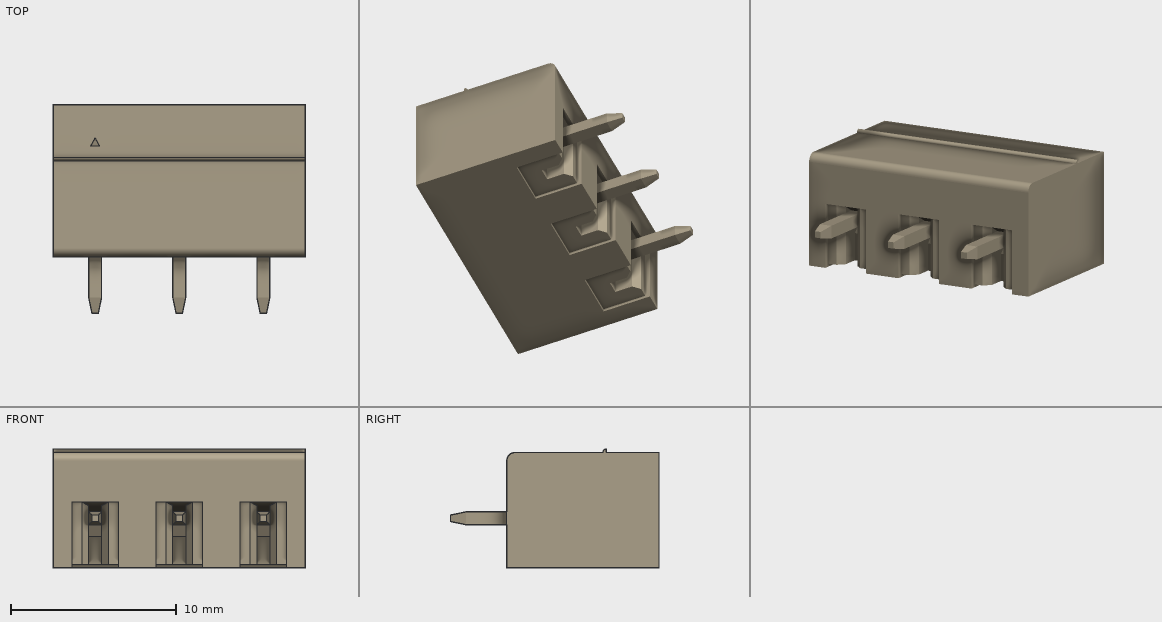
import cadquery as cq


length = 15.24
depth = 9.2
height = 6.98
front_edge_radius = 0.5

position_count = 3
pitch = length / position_count
positions = [(i - (position_count - 1) / 2) * pitch for i in range(position_count)]

rib_radius = 0.21
rib_back_y = 6.02

mark_width = 0.53
mark_length = 0.49
mark_base_y = 6.7
mark_depth = 0.099

pin_size = 0.8
pin_tip_size = 0.4
pin_protrusion = 3.4
pin_tip_length = 0.95
pin_z = 3.0

recess_width = 2.82
recess_height = 4.0
recess_depth = 0.3

mouth_width = 1.62
throat_width = 0.8
throat_y = 0.72

cavity_end_y = 2.64
cavity_end_z = 2.75
cavity_back_y = 1.83
cavity_back_height = 1.89

channel_height = 0.2
channel_end_y = 3.05


def make_housing():
    body = cq.Workplane("XY").box(length, depth, height, centered=(True, False, False))
    return body.faces("<Y").edges(">Z").fillet(front_edge_radius)


def make_rib():
    side = cq.Workplane("YZ", origin=(-length / 2, 0, 0)).moveTo(rib_back_y, height + rib_radius)
    side = side.radiusArc((rib_back_y - rib_radius, height), -rib_radius)
    return side.lineTo(rib_back_y, height).close().extrude(length)


def make_mark(x):
    outline = [
        (x - mark_width / 2, mark_base_y),
        (x + mark_width / 2, mark_base_y),
        (x, mark_base_y + mark_length),
    ]
    return cq.Workplane("XY", origin=(0, 0, height)).polyline(outline).close().extrude(-mark_depth)


def make_cavity(x):
    side_outline = [
        (recess_depth, 0),
        (recess_depth, recess_height),
        (cavity_end_y, cavity_end_z),
        (cavity_back_y, cavity_back_height),
        (cavity_back_y, 0),
    ]
    side = cq.Workplane("YZ", origin=(x - mouth_width / 2, 0, 0))
    side = side.polyline(side_outline).close().extrude(mouth_width)

    plan_outline = [
        (x - mouth_width / 2, recess_depth),
        (x + mouth_width / 2, recess_depth),
        (x + throat_width / 2, throat_y),
        (x + throat_width / 2, cavity_end_y),
        (x - throat_width / 2, cavity_end_y),
        (x - throat_width / 2, throat_y),
    ]
    plan = cq.Workplane("XY").polyline(plan_outline).close().extrude(recess_height)
    return side.intersect(plan)


def make_front_opening(x, opening_height, opening_depth):
    block = cq.Workplane("XY").box(
        recess_width, opening_depth, opening_height, centered=(True, False, False)
    )
    return block.translate((x, 0, 0))


def make_pin(x):
    tip_base_y = pin_tip_length - pin_protrusion
    shank_length = cavity_end_y - tip_base_y
    shank = cq.Workplane("XZ", origin=(x, cavity_end_y, pin_z))
    shank = shank.rect(pin_size, pin_size).extrude(shank_length)
    tip = (
        cq.Workplane("XZ", origin=(x, tip_base_y, pin_z))
        .rect(pin_size, pin_size)
        .workplane(offset=pin_tip_length)
        .rect(pin_tip_size, pin_tip_size)
        .loft()
    )
    return shank.union(tip)


result = make_housing().union(make_rib())
result = result.cut(make_mark(positions[0]))
for position in positions:
    result = result.cut(make_front_opening(position, recess_height, recess_depth))
    result = result.cut(make_cavity(position))
    result = result.cut(make_front_opening(position, channel_height, channel_end_y))
    result = result.union(make_pin(position))